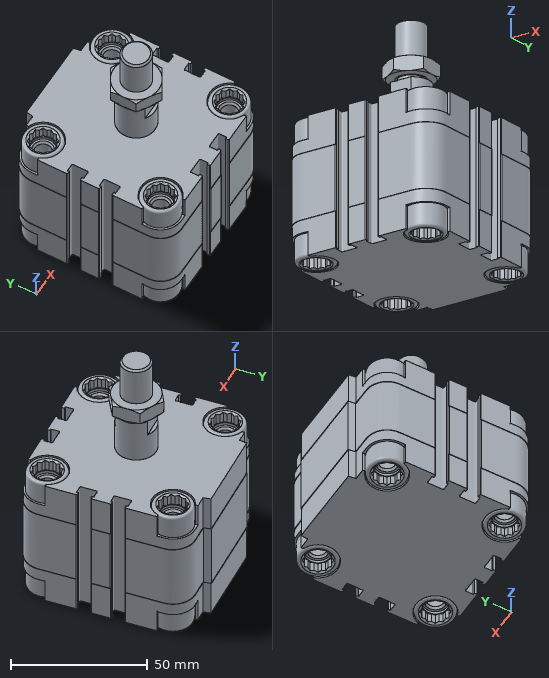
import cadquery as cq
import math

body_width = 68.0
body_height = 55.5
cap_height = 14.55
cap_inset = 0.15
corner_radius = 9.0
barrel_height = body_height - 2 * cap_height

overall_depth = 71.0
rib_height = overall_depth - body_width
rib_top_width = 34.0
rib_base_width = 35.0

slot_offset = 6.8
slot_width = 6.9
slot_mouth_width = 5.3
slot_depth = 4.9
slot_lip = 1.6
slot_lip_fillet = 0.4
slot_floor_fillet = 0.3

screw_offset = 25.0
head_diameter = 16.0
pocket_diameter = 16.5
head_height = 9.4
head_fillet = 1.0
corner_cut_start = 22.3
socket_mouth_diameter = 12.6
socket_mouth_depth = 0.7
socket_across_flats = 10.0
socket_depth = 4.8
socket_relief_diameter = 10.2
socket_relief_depth = 6.0
hole_diameter = 6.7
hole_mouth_diameter = 8.3

total_height = 97.0
rod_diameter = 16.0
shoulder_z = 73.1
flat_length = 6.4
flat_across = 13.0
neck_diameter = 10.5
thread_diameter = 12.0
thread_chamfer = 0.8

nut_bottom_z = 75.0
nut_height = 6.1
nut_across_flats = 19.0
nut_chamfer_angle = 25
nut_turn = 30

TWELVE_POINT_TURNS = (0, 30)
SLOT_FACE_TURNS = (-90, 0, 90)
SCREW_POSITIONS = [(x, y) for x in (-screw_offset, screw_offset) for y in (-screw_offset, screw_offset)]


def round_bar(diameter, bottom_z, top_z):
    """Cylinder on the Z axis between two heights."""
    return cq.Workplane("XY").workplane(offset=bottom_z).circle(diameter / 2).extrude(top_z - bottom_z)


def hexagon_corners(across_flats):
    """Distance between opposite corners of a hexagon."""
    return across_flats / math.cos(math.pi / 6)


def hexagon(across_flats, height, turn):
    """Hexagonal prism standing on Z = 0; a turn of 0 puts two corners on the X axis."""
    corner_diameter = hexagon_corners(across_flats)
    prism = cq.Workplane("XY").polygon(6, corner_diameter).extrude(height)
    return prism.rotate((0, 0, 0), (0, 0, 1), turn)


def cone(bottom_diameter, top_diameter, bottom_z, top_z):
    """Truncated cone on the Z axis between two heights."""
    frustum = cq.Solid.makeCone(bottom_diameter / 2, top_diameter / 2, top_z - bottom_z)
    return cq.Workplane(frustum).translate((0, 0, bottom_z))


def ribbed_block(height, inset):
    """Rounded square block with the +Y rib, its whole outline moved inward by the inset."""
    width = body_width - 2 * inset
    block = cq.Workplane("XY").rect(width, width).extrude(height)
    block = block.edges("|Z").fillet(corner_radius - inset)
    face_y = width / 2
    rib = (
        cq.Workplane("XY")
        .moveTo(-rib_base_width / 2, 0)
        .lineTo(-rib_base_width / 2, face_y)
        .lineTo(-rib_top_width / 2, face_y + rib_height)
        .lineTo(rib_top_width / 2, face_y + rib_height)
        .lineTo(rib_base_width / 2, face_y)
        .lineTo(rib_base_width / 2, 0)
        .close()
        .extrude(height)
    )
    return block.union(rib)


def slot_cutter():
    """Full-height T-slot in the -Y face, at X = 0, with rounded lips and floor corners."""
    face_y = -body_width / 2
    lip_y = face_y + slot_lip
    floor_y = face_y + slot_depth
    mouth = slot_mouth_width / 2
    flare = mouth + slot_lip_fillet
    cutter = (
        cq.Workplane("XY")
        .moveTo(-flare, face_y)
        .radiusArc((-mouth, face_y + slot_lip_fillet), slot_lip_fillet)
        .lineTo(-mouth, lip_y)
        .lineTo(-slot_width / 2, lip_y)
        .lineTo(-slot_width / 2, floor_y)
        .lineTo(slot_width / 2, floor_y)
        .lineTo(slot_width / 2, lip_y)
        .lineTo(mouth, lip_y)
        .lineTo(mouth, face_y + slot_lip_fillet)
        .radiusArc((flare, face_y), slot_lip_fillet)
        .close()
        .extrude(body_height)
    )
    return cutter.edges("|Z and >Y").fillet(slot_floor_fillet)


def head_pocket():
    """Room for the screw head at the +X +Y corner: a square notch and a round pocket."""
    notch_size = body_width / 2
    base_z = body_height - head_height
    notch = cq.Workplane("XY").box(notch_size, notch_size, head_height, centered=False)
    notch = notch.translate((corner_cut_start, corner_cut_start, base_z))
    pocket = round_bar(pocket_diameter, base_z, body_height).translate((screw_offset, screw_offset, 0))
    return notch.union(pocket)


def screw_head():
    """Round head with a twelve-point socket, level with the housing's top, at the +X +Y corner."""
    base_z = body_height - head_height
    socket_floor_z = body_height - socket_depth
    relief_floor_z = body_height - socket_relief_depth
    mouth_z = body_height - socket_mouth_depth
    hole_mouth_z = relief_floor_z - (hole_mouth_diameter - hole_diameter) / 2

    head = round_bar(head_diameter, base_z, body_height).faces(">Z").edges().fillet(head_fillet)
    for turn in TWELVE_POINT_TURNS:
        points = hexagon(socket_across_flats, socket_depth, turn)
        head = head.cut(points.translate((0, 0, socket_floor_z)))
    head = head.cut(round_bar(socket_relief_diameter, relief_floor_z, socket_floor_z))
    head = head.cut(cone(socket_relief_diameter, socket_mouth_diameter, mouth_z, body_height))
    head = head.cut(cone(hole_diameter, hole_mouth_diameter, hole_mouth_z, relief_floor_z))
    return head.translate((screw_offset, screw_offset, 0))


def at_every_corner(shape):
    """Copies of a +X +Y top corner shape at the four corners of both ends."""
    top = shape.union(shape.mirror("YZ"))
    top = top.union(top.mirror("XZ"))
    return top.union(top.mirror("XY").translate((0, 0, body_height)))


def make_housing():
    """Barrel and both end caps in one piece, with T-slots, screw heads and through holes."""
    housing = ribbed_block(body_height, cap_inset)
    barrel = ribbed_block(barrel_height, 0)
    housing = housing.union(barrel.translate((0, 0, cap_height)))
    for face_turn in SLOT_FACE_TURNS:
        for side in (-slot_offset, slot_offset):
            cutter = slot_cutter().translate((side, 0, 0))
            housing = housing.cut(cutter.rotate((0, 0, 0), (0, 0, 1), face_turn))
    housing = housing.cut(at_every_corner(head_pocket()))
    housing = housing.union(at_every_corner(screw_head()))
    holes = cq.Workplane("XY").pushPoints(SCREW_POSITIONS).circle(hole_diameter / 2).extrude(body_height)
    return housing.cut(holes)


def make_rod():
    """Rod standing on the housing's top face, with two spanner flats, a neck and a thread."""
    rod = round_bar(rod_diameter, body_height, shoulder_z)
    flat_depth = (rod_diameter - flat_across) / 2
    for side in (-1, 1):
        flat = cq.Workplane("XY").box(rod_diameter, flat_depth, flat_length)
        flat_y = side * (flat_across + flat_depth) / 2
        rod = rod.cut(flat.translate((0, flat_y, shoulder_z - flat_length / 2)))
    neck = round_bar(neck_diameter, shoulder_z, nut_bottom_z)
    thread = round_bar(thread_diameter, nut_bottom_z, total_height).faces(">Z").chamfer(thread_chamfer)
    return rod.union(neck).union(thread)


def make_nut():
    """Hexagon nut with two corners on the Y axis, its corners turned off at both ends."""
    nut = hexagon(nut_across_flats, nut_height, nut_turn)
    corner_diameter = hexagon_corners(nut_across_flats)
    chamfer_run = (corner_diameter - nut_across_flats) / 2
    chamfer_drop = chamfer_run * math.tan(math.radians(nut_chamfer_angle))
    turned = round_bar(corner_diameter, 0, nut_height)
    turned = turned.faces("<Z or >Z").edges().chamfer(chamfer_drop, chamfer_run)
    nut = nut.intersect(turned)
    return nut.cut(round_bar(thread_diameter, 0, nut_height)).translate((0, 0, nut_bottom_z))


housing = make_housing()
rod = make_rod()
nut = make_nut()

result = cq.Compound.makeCompound([body.solids().val() for body in (housing, rod, nut)])